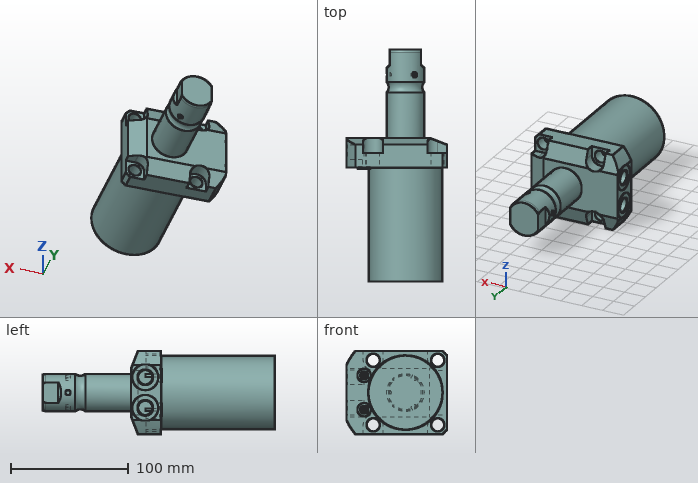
import cadquery as cq
import math


total_length = 197.2
barrel_radius = 31.4
barrel_root_chamfer = 0.4
flange_thickness = 25.2
rod_length = 75.1
barrel_length = total_length - flange_thickness - rod_length
flange_height = 70.8
flange_width = 85.5
flange_half_height = flange_height / 2
flange_right = flange_half_height
flange_left = flange_width - flange_right
left_corner_radius = 55.5
right_corner_radius = 47.3
bevel_run = 14.8
bevel_depth = 5.7

hole_offset = 27.5
hole_radius = 5.5
head_radius = 8.5
head_seat = 12.6

rod_radius = 16.0
rod_tip = flange_thickness + rod_length
tip_chamfer_length = 2.5
tip_chamfer_depth = 0.5
groove_start = 27.6
groove_width = 8.9
groove_depth = 1.5
flat_half_width = 13.5
flat_length = 13.2
dimple_radius = 2.2
dimple_depth = 3.0
dimple_position = 21.5
dimple_count = 3
drill_point_angle = 118

port_y = 13.2
port_z = 13.0
port_radius = 6.1
port_chamfer = 0.5
spotface_radius = 11.0
spotface_depth = 0.2

oil_x = -35.1
oil_z = 14.5
oil_hole_radius = 1.2
oil_hole_chamfer = 0.5
ring_major_radius = 4.5
ring_minor_radius = 1.2
ring_seat_radius = ring_major_radius + ring_minor_radius
ring_seat_depth = ring_minor_radius

cut_margin = 2.0
both_sides = (-1, 1)


def cylinder_y(x, z, radius, y_start, y_end):
    """Cylinder parallel to Y between two Y positions."""
    return cq.Workplane(
        cq.Solid.makeCylinder(radius, y_end - y_start, cq.Vector(x, y_start, z), cq.Vector(0, 1, 0))
    )


def block(x_range, y_range, z_range):
    """Box between pairs of limits."""
    return cq.Workplane("XY").box(
        x_range[1] - x_range[0], y_range[1] - y_range[0], z_range[1] - z_range[0], centered=False
    ).translate((x_range[0], y_range[0], z_range[0]))


def make_flange():
    """Plate with corners rounded about the cylinder axis and bevels on the rod side."""
    def reach(radius, offset):
        return math.sqrt(radius**2 - offset**2)

    def corner(radius, side):
        """Point halfway round the corner arc that joins a side to the top."""
        start = math.atan2(reach(radius, side), side)
        end = math.atan2(flange_half_height, reach(radius, flange_half_height))
        middle = (start + end) / 2
        return radius * math.cos(middle), radius * math.sin(middle)

    left_top = reach(left_corner_radius, flange_half_height)
    left_side = reach(left_corner_radius, flange_left)
    left_mid_x, left_mid_z = corner(left_corner_radius, flange_left)
    right_top = reach(right_corner_radius, flange_half_height)
    right_side = reach(right_corner_radius, flange_right)
    right_mid_x, right_mid_z = corner(right_corner_radius, flange_right)

    plate = (
        cq.Workplane("XZ")
        .moveTo(-left_top, flange_half_height)
        .lineTo(right_top, flange_half_height)
        .threePointArc((right_mid_x, right_mid_z), (flange_right, right_side))
        .lineTo(flange_right, -right_side)
        .threePointArc((right_mid_x, -right_mid_z), (right_top, -flange_half_height))
        .lineTo(-left_top, -flange_half_height)
        .threePointArc((-left_mid_x, -left_mid_z), (-flange_left, -left_side))
        .lineTo(-flange_left, left_side)
        .threePointArc((-left_mid_x, left_mid_z), (-left_top, flange_half_height))
        .close()
        .extrude(-flange_thickness)
    )

    bevel_low = flange_thickness - bevel_depth
    side_bevel = (
        cq.Workplane("XY")
        .polyline([
            (flange_right, bevel_low),
            (flange_right, flange_thickness),
            (flange_right - bevel_run, flange_thickness),
        ])
        .close()
        .extrude(flange_half_height, both=True)
    )
    plate = plate.cut(side_bevel)
    for side in both_sides:
        edge = side * flange_half_height
        edge_bevel = (
            cq.Workplane("YZ")
            .polyline([
                (bevel_low, edge),
                (flange_thickness, edge),
                (flange_thickness, edge - side * bevel_run),
            ])
            .close()
            .extrude(flange_left, both=True)
        )
        plate = plate.cut(edge_bevel)
    return plate


def make_mounting_cutters():
    """Four bolt holes with head recesses that open to the plate edges."""
    cutters = []
    seat_range = (head_seat, flange_thickness + cut_margin)
    for side in both_sides:
        z = side * hole_offset
        outer_z = side * (flange_half_height + cut_margin)
        inner_z = z - side * head_radius
        for x in (-hole_offset, hole_offset):
            cutters.append(cylinder_y(x, z, hole_radius, -cut_margin, seat_range[1]))
            cutters.append(cylinder_y(x, z, head_radius, *seat_range))
            cutters.append(block((x - head_radius, x + head_radius), seat_range, sorted((z, outer_z))))
        corner_range = (hole_offset, flange_right + cut_margin)
        cutters.append(block(corner_range, seat_range, sorted((inner_z, outer_z))))
    return cutters


def make_barrel():
    """Plain cylinder that flares slightly where it meets the flange face."""
    return (
        cq.Workplane("XY")
        .moveTo(0, -barrel_length)
        .lineTo(barrel_radius, -barrel_length)
        .lineTo(barrel_radius, -barrel_root_chamfer)
        .lineTo(barrel_radius + barrel_root_chamfer, 0)
        .lineTo(0, 0)
        .close()
        .revolve(360, (0, 0, 0), (0, 1, 0))
    )


def make_rod():
    """Turned rod with a concave groove, tip chamfer, two wrench flats and dimples."""
    groove_far = rod_tip - groove_start
    groove_near = groove_far - groove_width
    rod = (
        cq.Workplane("XY")
        .moveTo(0, 0)
        .lineTo(rod_radius, 0)
        .lineTo(rod_radius, groove_near)
        .threePointArc(
            (rod_radius - groove_depth, (groove_near + groove_far) / 2), (rod_radius, groove_far)
        )
        .lineTo(rod_radius, rod_tip - tip_chamfer_length)
        .lineTo(rod_radius - tip_chamfer_depth, rod_tip)
        .lineTo(0, rod_tip)
        .close()
        .revolve(360, (0, 0, 0), (0, 1, 0))
    )

    flat_end = rod_tip - flat_length
    runout = rod_radius + cut_margin - flat_half_width
    for side in both_sides:
        flat = (
            cq.Workplane("XY")
            .polyline([
                (side * flat_half_width, rod_tip + cut_margin),
                (side * flat_half_width, flat_end),
                (side * (flat_half_width + runout), flat_end - runout),
                (side * (flat_half_width + runout), rod_tip + cut_margin),
            ])
            .close()
            .extrude(rod_radius, both=True)
        )
        rod = rod.cut(flat)

    floor = dimple_depth + dimple_radius / math.tan(math.radians(drill_point_angle / 2))
    dimple = (
        cq.Workplane("XY")
        .moveTo(-rod_radius - cut_margin, 0)
        .lineTo(-rod_radius + floor, 0)
        .lineTo(-rod_radius + dimple_depth, dimple_radius)
        .lineTo(-rod_radius - cut_margin, dimple_radius)
        .close()
        .revolve(360, (0, 0, 0), (1, 0, 0))
        .translate((0, rod_tip - dimple_position, 0))
    )
    for index in range(dimple_count):
        rod = rod.cut(dimple.rotate((0, 0, 0), (0, 1, 0), index * 360 / dimple_count))
    return rod


def make_port_cutter(side):
    """Chamfered port with a shallow spotface; its floor lies on the oil hole axis."""
    bore = (
        cq.Workplane("XY")
        .moveTo(-flange_left - cut_margin, 0)
        .lineTo(-flange_left - cut_margin, spotface_radius)
        .lineTo(-flange_left + spotface_depth, spotface_radius)
        .lineTo(-flange_left + spotface_depth, port_radius + port_chamfer)
        .lineTo(-flange_left + spotface_depth + port_chamfer, port_radius)
        .lineTo(oil_x, port_radius)
        .lineTo(oil_x, 0)
        .close()
        .revolve(360, (0, 0, 0), (1, 0, 0))
    )
    return bore.translate((0, port_y, side * port_z))


def make_oil_cutter(side):
    """Oil hole from the flange face to the port centre, with an O-ring seat."""
    hole = (
        cq.Workplane("XY")
        .moveTo(0, -cut_margin)
        .lineTo(ring_seat_radius, -cut_margin)
        .lineTo(ring_seat_radius, ring_seat_depth)
        .lineTo(oil_hole_radius + oil_hole_chamfer, ring_seat_depth)
        .lineTo(oil_hole_radius, ring_seat_depth + oil_hole_chamfer)
        .lineTo(oil_hole_radius, port_y)
        .lineTo(0, port_y)
        .close()
        .revolve(360, (0, 0, 0), (0, 1, 0))
    )
    return hole.translate((oil_x, 0, side * oil_z))


def make_housing():
    """Barrel, flange and rod as one solid, with all holes cut."""
    body = make_flange()
    for cutter in make_mounting_cutters():
        body = body.cut(cutter)
    body = body.union(make_barrel())
    body = body.union(make_rod())
    for side in both_sides:
        body = body.cut(make_port_cutter(side))
        body = body.cut(make_oil_cutter(side))
    return body


def make_o_ring(side):
    """O-ring resting on the floor of its seat and standing proud of the flange face."""
    centre_y = ring_seat_depth - ring_minor_radius
    return cq.Solid.makeTorus(
        ring_major_radius,
        ring_minor_radius,
        cq.Vector(oil_x, centre_y, side * oil_z),
        cq.Vector(0, 1, 0),
    )


housing = make_housing()
o_rings = [make_o_ring(side) for side in both_sides]

result = cq.Compound.makeCompound([housing.val(), *o_rings])